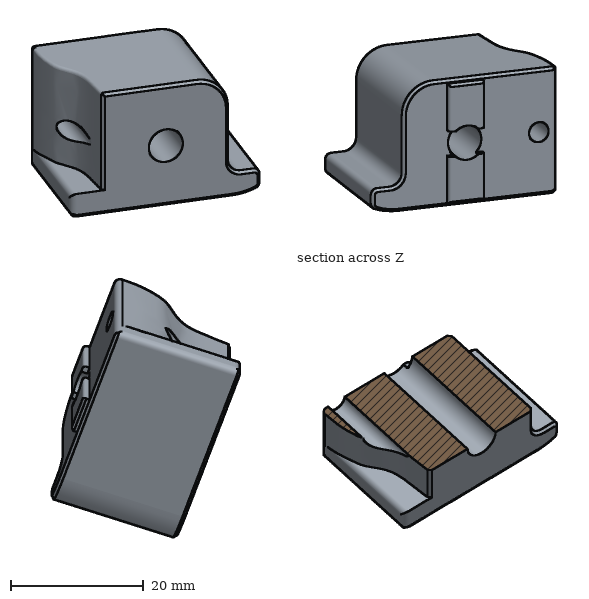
import cadquery as cq
import math

length = 30
height = 20.0
rail_height = 1.0
body_width = 21 - rail_height

edge_break = 0.48
edge_radius = 1.0

back_wall_y = 25.0
top_back_radius = 5.0
ledge_z = 4.0
ledge_inner_radius = 2.0
heel_start_y = 25.65
heel_arc_radius = 10.0

wave_start = (edge_radius, 0.03)
wave_knots = [(6.6, 0.72), (8.5, 1.45), (10.55, 3), (12.9, 4.15), (15.85, 4.55)]
wave_end = (body_width, 4.9)
wave_end_slope = (1, 0.06)

rail_width = 5.7
rail_gap = 4.02
rail_end_inset = 0.48
rail_edge = 0.45

mid_z = height / 2
main_hole_y = 15
main_hole_diameter = 5.4
small_hole_y = 3
small_hole_diameter = 3.15


def heel_point(y):
    """Point of the heel arc, which leaves the bottom tangentially at heel_start_y."""
    run = y - heel_start_y
    return (y, heel_arc_radius - math.sqrt(heel_arc_radius**2 - run**2))


def extruded_side_outline():
    heel_middle = heel_point((heel_start_y + length) / 2)
    solid = (
        cq.Workplane("YZ")
        .lineTo(heel_start_y, 0)
        .threePointArc(heel_middle, heel_point(length))
        .lineTo(length, ledge_z)
        .lineTo(back_wall_y, ledge_z)
        .lineTo(back_wall_y, height)
        .lineTo(0, height)
        .close()
        .extrude(body_width)
    )
    solid = solid.edges("|X and >Y").fillet(edge_radius)
    solid = solid.edges("|X and <Y and <Z").fillet(edge_radius)
    top_back = cq.selectors.NearestToPointSelector((body_width / 2, back_wall_y, height))
    solid = solid.edges(top_back).fillet(top_back_radius)
    inner = cq.selectors.NearestToPointSelector((body_width / 2, back_wall_y, ledge_z))
    return solid.edges(inner).fillet(ledge_inner_radius)


def wave_cutter():
    """Everything in front of the wavy face, over the full height."""
    clearance = 1.5
    return (
        cq.Workplane("XY")
        .moveTo(wave_start[0], -clearance)
        .lineTo(*wave_start)
        .spline([*wave_knots, wave_end], tangents=[(1, 0), wave_end_slope], includeCurrent=True)
        .lineTo(body_width + clearance, wave_end[1])
        .lineTo(body_width + clearance, -clearance)
        .close()
        .extrude(height)
    )


def chamfered_sides(solid):
    return solid.faces("<X or >X").edges().chamfer(edge_break)


def front_lip(block):
    """Base of the block up to the lip top, with a rounded upper front edge."""
    depth = wave_end[1] + edge_radius
    envelope = cq.Workplane("XY").box(body_width, depth, ledge_z, centered=False)
    envelope = envelope.edges("|X and <Y and >Z").fillet(edge_radius)
    return block.intersect(envelope)


def plan_envelope():
    """Plan of the body with both upright front corners and the top front edge rounded."""
    envelope = cq.Workplane("XY").box(body_width, length, height, centered=False)
    envelope = envelope.edges("|Z and <Y").fillet(edge_radius)
    return envelope.edges("<Y and >Z").fillet(edge_break)


def rail_segment(bottom, top):
    """Rail piece between two heights; its long edges are rounded, its outer end is chamfered."""
    outer_end = "<Z" if bottom < mid_z else ">Z"
    blank = cq.Workplane("XY").box(rail_height, rail_width, top - bottom)
    rounded = blank.edges("|Z and <X").fillet(rail_edge)
    chamfered = blank.faces("<X").edges(outer_end).chamfer(rail_edge)
    segment = rounded.intersect(chamfered)
    return segment.translate((-rail_height / 2, main_hole_y, (bottom + top) / 2))


def cross_hole(y, diameter):
    return (
        cq.Workplane("YZ", origin=(-rail_height, y, mid_z))
        .circle(diameter / 2)
        .extrude(rail_height + body_width)
    )


block = extruded_side_outline()
upper = chamfered_sides(block.cut(wave_cutter()))
wave_top = cq.selectors.NearestToPointSelector((wave_knots[1][0], wave_knots[1][1], height))
upper = upper.edges(wave_top).fillet(edge_break)
body = upper.union(front_lip(chamfered_sides(block))).intersect(plan_envelope())

body = body.union(rail_segment(rail_end_inset, mid_z - rail_gap / 2))
body = body.union(rail_segment(mid_z + rail_gap / 2, height - rail_end_inset))

body = body.cut(cross_hole(main_hole_y, main_hole_diameter))
result = body.cut(cross_hole(small_hole_y, small_hole_diameter))